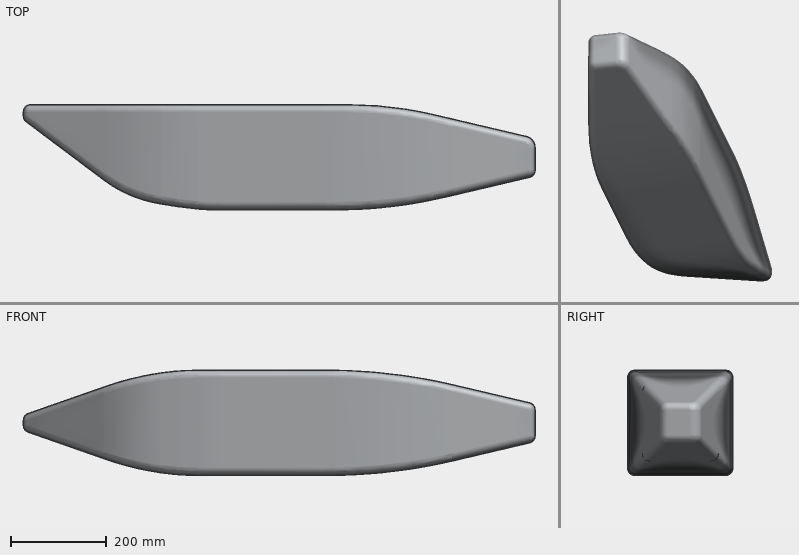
import cadquery as cq
import math

LENGTH = 1070.0
WIDTH = 220.0
HALF = WIDTH / 2
EDGE_RADIUS = 16.0
SEAM_LENGTH_LIMIT = 1.6
TAIL_CORNER_RADIUS = 25.0

NOSE_HALF_HEIGHT = 16.0
CROWN_NOSE_END = 173.0
CROWN_BLEND = 290.0
CROWN_BLEND_SLOPE = 0.14
CROWN_FLAT_START = 367.0
CROWN_FLAT_END = 633.0
CROWN_TAIL_START = 899.0
CROWN_TAIL_SLOPE = 0.235

FRONT_NOSE_SLOPE = 0.75
FRONT_NOSE_END = 168.0
FRONT_FACET_START = 287.0
FRONT_FACET_END = 322.0
FRONT_FACET_SLOPE = 0.16
FRONT_FLAT_START = 412.0
FRONT_FLAT_END = 651.0
FRONT_TAIL_START = 882.0
FRONT_TAIL_SLOPE = 0.235

BACK_FLAT_END = 679.0
BACK_TAIL_START = 856.0
BACK_TAIL_SLOPE = 0.235


def arc_points(start, end_x, start_slope, end_slope):
    """Middle and end of an arc that leaves start and turns from one slope to another."""
    a = math.atan(start_slope)
    b = math.atan(end_slope)
    radius = (end_x - start[0]) / (math.sin(b) - math.sin(a))

    def at(angle):
        return (
            start[0] + radius * (math.sin(angle) - math.sin(a)),
            start[1] + radius * (math.cos(a) - math.cos(angle)),
        )

    return at((a + b) / 2), at(b)


def line_end(start, end_x, slope):
    return (end_x, start[1] + slope * (end_x - start[0]))


def crown_prism():
    """Side outline swept along Y; its arcs run tangent into the flat middle."""
    flat_start = (CROWN_FLAT_START, HALF)
    flat_end = (CROWN_FLAT_END, HALF)
    nose_tip = (0, NOSE_HALF_HEIGHT)
    shoulder_mid, blend = arc_points(flat_start, CROWN_BLEND, 0, CROWN_BLEND_SLOPE)
    nose_slope = (
        (blend[1] - NOSE_HALF_HEIGHT - CROWN_BLEND_SLOPE * (CROWN_BLEND - CROWN_NOSE_END) / 2)
        / ((CROWN_NOSE_END + CROWN_BLEND) / 2)
    )
    nose_mid, nose_end = arc_points(blend, CROWN_NOSE_END, CROWN_BLEND_SLOPE, nose_slope)
    tail_mid, tail_start = arc_points(flat_end, CROWN_TAIL_START, 0, -CROWN_TAIL_SLOPE)
    tail_end = line_end(tail_start, LENGTH, -CROWN_TAIL_SLOPE)

    def below(point):
        return (point[0], -point[1])

    return (
        cq.Workplane("XZ")
        .moveTo(*nose_tip)
        .lineTo(*nose_end)
        .threePointArc(nose_mid, blend)
        .threePointArc(shoulder_mid, flat_start)
        .lineTo(*flat_end)
        .threePointArc(tail_mid, tail_start)
        .lineTo(*tail_end)
        .lineTo(*below(tail_end))
        .lineTo(*below(tail_start))
        .threePointArc(below(tail_mid), below(flat_end))
        .lineTo(*below(flat_start))
        .threePointArc(below(shoulder_mid), below(blend))
        .threePointArc(below(nose_mid), below(nose_end))
        .lineTo(*below(nose_tip))
        .close()
        .extrude(HALF, both=True)
    )


def plan_prism():
    """Plan outline swept along Z: flat back at the nose, raked front."""
    front_flat_start = (FRONT_FLAT_START, -HALF)
    front_flat_end = (FRONT_FLAT_END, -HALF)
    shoulder_mid, facet_end = arc_points(front_flat_start, FRONT_FACET_END, 0, -FRONT_FACET_SLOPE)
    facet_start = line_end(facet_end, FRONT_FACET_START, -FRONT_FACET_SLOPE)
    nose_mid, nose_end = arc_points(
        facet_start, FRONT_NOSE_END, -FRONT_FACET_SLOPE, -FRONT_NOSE_SLOPE
    )
    nose_tip = line_end(nose_end, 0, -FRONT_NOSE_SLOPE)
    front_tail_mid, front_tail_start = arc_points(
        front_flat_end, FRONT_TAIL_START, 0, FRONT_TAIL_SLOPE
    )
    front_tail_end = line_end(front_tail_start, LENGTH, FRONT_TAIL_SLOPE)
    back_flat_end = (BACK_FLAT_END, HALF)
    back_tail_mid, back_tail_start = arc_points(
        back_flat_end, BACK_TAIL_START, 0, -BACK_TAIL_SLOPE
    )
    back_tail_end = line_end(back_tail_start, LENGTH, -BACK_TAIL_SLOPE)
    return (
        cq.Workplane("XY")
        .moveTo(0, HALF)
        .lineTo(*nose_tip)
        .lineTo(*nose_end)
        .threePointArc(nose_mid, facet_start)
        .lineTo(*facet_end)
        .threePointArc(shoulder_mid, front_flat_start)
        .lineTo(*front_flat_end)
        .threePointArc(front_tail_mid, front_tail_start)
        .lineTo(*front_tail_end)
        .lineTo(*back_tail_end)
        .lineTo(*back_tail_start)
        .threePointArc(back_tail_mid, back_flat_end)
        .close()
        .extrude(HALF, both=True)
    )


def is_rounded(edge):
    """True for corner edges; seams inside one smooth face run along Y or Z away from the ends."""
    box = edge.BoundingBox()
    at_an_end = box.xmax < EDGE_RADIUS or box.xmin > LENGTH - EDGE_RADIUS
    return at_an_end or box.xlen > SEAM_LENGTH_LIMIT


plan = plan_prism().edges("|Z").edges(">X").edges(">Y").fillet(TAIL_CORNER_RADIUS)
body = crown_prism().intersect(plan)
corner_edges = [edge for edge in body.edges().vals() if is_rounded(edge)]
result = body.newObject(corner_edges).fillet(EDGE_RADIUS)